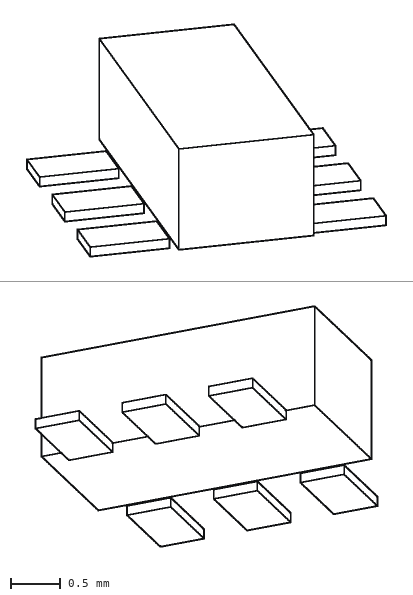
import cadquery as cq

overall_y = 3.08
overall_height = 1.2

terminal_width = 0.48
terminal_length = 0.825
terminal_thickness = 0.105
terminal_pitch = 0.952
terminals_per_row = 3

housing_x = 3.0
housing_y = 1.405
housing_height = overall_height - terminal_thickness


def make_housing():
    """Rectangular block above the terminal plane."""
    return (
        cq.Workplane("XY")
        .workplane(offset=terminal_thickness)
        .rect(housing_x, housing_y)
        .extrude(housing_height)
    )


def make_terminal(x, y):
    """Flat plate centred at (x, y) with its underside on Z = 0."""
    return (
        cq.Workplane("XY")
        .center(x, y)
        .rect(terminal_width, terminal_length)
        .extrude(terminal_thickness)
    )


housing = make_housing()

row_offset = (overall_y - terminal_length) / 2
terminals = []
for side in (-1, 1):
    for index in range(terminals_per_row):
        x = (index - (terminals_per_row - 1) / 2) * terminal_pitch
        terminals.append(make_terminal(x, side * row_offset))

result = cq.Compound.makeCompound([housing.val(), *[terminal.val() for terminal in terminals]])